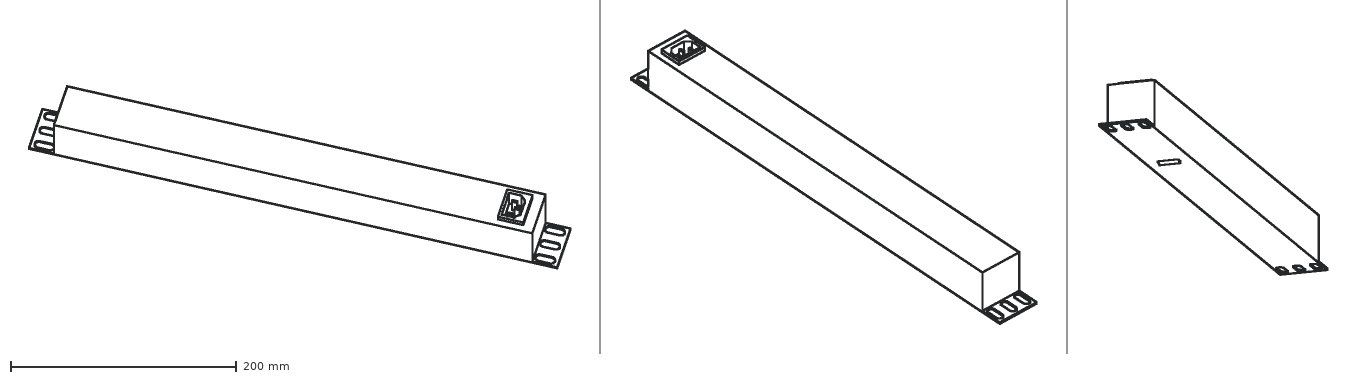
import cadquery as cq

plate_length = 487.0
plate_width = 44.5
plate_thickness = 1.5

housing_length = 441.0
housing_height = 44.5

slot_length = 18.0
slot_width = 7.5
slot_pitch = 16.0
slot_rows = 3
slot_end_distance = 12.5

inlet_x = 198.5
inlet_length = 23.5
inlet_width = 31.0
inlet_height = 4.0

cavity_x = inlet_x - 1.0
cavity_length = 16.0
cavity_width = 25.0
cavity_depth = 16.0
cavity_corner = 5.0

pin_length = 5.0
pin_width = 2.0
pin_height = 12.5
pin_spacing = 14.0
outer_pin_x = inlet_x - 2.5
earth_pin_x = inlet_x + 2.0

rocker_x = 115.5
rocker_length = 7.0
rocker_peak_offset = 1.0
rocker_width = 19.5
rocker_drop = 2.0

inlet_top = housing_height + inlet_height
cavity_floor = inlet_top - cavity_depth


def block(length, width, height, x, y, z):
    """Box centred on (x, y) with its underside at z."""
    return (
        cq.Workplane("XY")
        .box(length, width, height, centered=(True, True, False))
        .translate((x, y, z))
    )


def mounting_slots():
    slot_x_spacing = plate_length - 2 * slot_end_distance
    return (
        cq.Workplane("XY")
        .rarray(slot_x_spacing, slot_pitch, 2, slot_rows)
        .slot2D(slot_length, slot_width)
        .extrude(plate_thickness)
    )


def inlet_cavity():
    cavity = block(cavity_length, cavity_width, cavity_depth, cavity_x, 0, cavity_floor)
    return cavity.edges("|Z and >X").chamfer(cavity_corner)


def contact_pins():
    pins = block(pin_length, pin_width, pin_height, earth_pin_x, 0, cavity_floor)
    for side in (-1, 1):
        pin_y = side * pin_spacing / 2
        pins = pins.union(block(pin_length, pin_width, pin_height, outer_pin_x, pin_y, cavity_floor))
    return pins


def switch_rocker():
    return (
        cq.Workplane("XZ")
        .moveTo(rocker_x, plate_thickness)
        .lineTo(rocker_x, 0)
        .lineTo(rocker_x + rocker_peak_offset, -rocker_drop)
        .lineTo(rocker_x + rocker_length, 0)
        .lineTo(rocker_x + rocker_length, plate_thickness)
        .close()
        .extrude(rocker_width / 2, both=True)
    )


plate = block(plate_length, plate_width, plate_thickness, 0, 0, 0).cut(mounting_slots())
housing = block(housing_length, plate_width, housing_height, 0, 0, 0)
inlet = block(inlet_length, inlet_width, inlet_height, inlet_x, 0, housing_height)

result = (
    plate.union(housing)
    .union(inlet)
    .cut(inlet_cavity())
    .union(contact_pins())
    .union(switch_rocker())
)